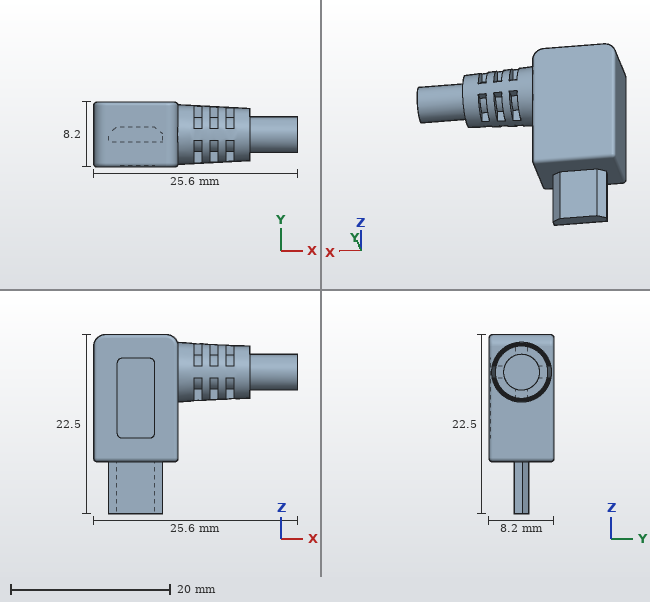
import cadquery as cq


total_length = 25.6
housing_width = 10.62
housing_depth = 8.2
housing_height = 16.0
top_corner_radius = 1.5
edge_radius = 0.49

label_width = 4.68
label_height = 10.04
label_corner_radius = 0.61
label_depth = 0.2

tongue_width = 6.8
tongue_offset = -0.05
tongue_length = 6.5
tongue_thickness = 1.85
tongue_straight_side = 1.05
tongue_bevel_inset = 1.02

cable_diameter = 4.5
relief_length = 8.99
relief_start_diameter = 7.53
relief_end_diameter = 6.58
axis_below_top = 4.74

slot_count = 3
slot_width = 1.0
slot_pitch = 2 * slot_width
slot_start = 2 * slot_width
rib_width = 1.5

housing_side = housing_width / 2
axis_height = housing_height - axis_below_top
cable_end = total_length - housing_side


def make_housing():
    block = cq.Workplane("XY").box(
        housing_width, housing_depth, housing_height, centered=(True, True, False)
    )
    block = block.edges("|Y and >Z").fillet(top_corner_radius)
    return block.faces("<Y or >Y or <Z").edges().fillet(edge_radius)


def make_label_recess():
    return (
        cq.Workplane("XY")
        .box(label_width, label_depth, label_height, centered=(True, False, True))
        .edges("|Y")
        .fillet(label_corner_radius)
        .translate((0, -housing_depth / 2, housing_height / 2))
    )


def make_tongue():
    half_width = tongue_width / 2
    front = -tongue_thickness / 2
    back = tongue_thickness / 2
    bevel_start = front + tongue_straight_side
    return (
        cq.Workplane("XY")
        .center(tongue_offset, 0)
        .workplane(offset=-tongue_length)
        .moveTo(-half_width, front)
        .lineTo(half_width, front)
        .lineTo(half_width, bevel_start)
        .lineTo(half_width - tongue_bevel_inset, back)
        .lineTo(-half_width + tongue_bevel_inset, back)
        .lineTo(-half_width, bevel_start)
        .close()
        .extrude(tongue_length + edge_radius)
    )


def make_cable_and_relief():
    root = housing_side - top_corner_radius
    relief_end = housing_side + relief_length
    return (
        cq.Workplane("XY", origin=(0, 0, axis_height))
        .moveTo(root, 0)
        .lineTo(root, -relief_start_diameter / 2)
        .lineTo(housing_side, -relief_start_diameter / 2)
        .lineTo(relief_end, -relief_end_diameter / 2)
        .lineTo(relief_end, -cable_diameter / 2)
        .lineTo(cable_end, -cable_diameter / 2)
        .lineTo(cable_end, 0)
        .close()
        .revolve(360, (0, 0, 0), (1, 0, 0))
    )


def make_slot_ring(start):
    section = cq.Workplane("YZ", origin=(start, 0, axis_height))
    ring = section.circle(relief_start_diameter).circle(cable_diameter / 2).extrude(slot_width)
    rib_span = 2 * relief_start_diameter
    upright_ribs = section.rect(rib_width, rib_span).extrude(slot_width)
    level_ribs = section.rect(rib_span, rib_width).extrude(slot_width)
    return ring.cut(upright_ribs).cut(level_ribs)


cable_and_relief = make_cable_and_relief()
for index in range(slot_count):
    start = housing_side + slot_start + index * slot_pitch
    cable_and_relief = cable_and_relief.cut(make_slot_ring(start))

result = make_housing().cut(make_label_recess()).union(make_tongue()).union(cable_and_relief)